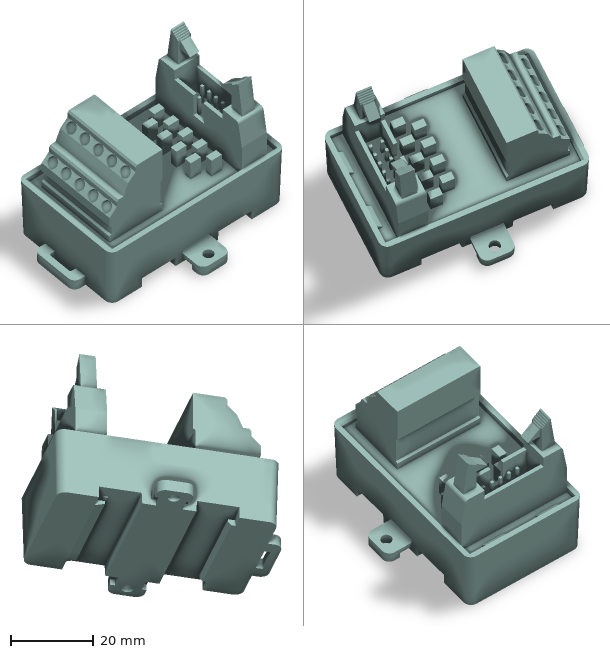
import cadquery as cq
import math


housing_height = 17.85
housing_width, housing_length = 34.75, 56.1
wall_draft = 0.4
corner_radius = 2.25
rim_wall = 1.4
base_width = housing_width - 2 * wall_draft
base_length = housing_length - 2 * wall_draft

board_thickness = 1.6
board_drop = 1.8
board_top = housing_height - board_drop
board_bottom = board_top - board_thickness
board_width = housing_width - 2 * rim_wall
board_length = housing_length - 2 * rim_wall
board_end = board_length / 2

snap_width, snap_reach, snap_spacing = 6.1, 1.4, 16.2
snap_fall = 1.2
lip_reach, lip_fall = 0.65, 0.6

slot_height = 3.0
rail_centre = -0.2
rail_half_width = 17.7
island_half_width = 6.95
slot_draft = 0.2
hook_reach, hook_top, hook_tip = 2.55, 1.6, 0.85
ridge_depth, ridge_width = 0.3, 1.55

ear_span, ear_width, ear_radius = 48.6, 9.15, 2.15
ear_hole_diameter, ear_hole_spacing = 3.0, 42.5
ear_notch_height, ear_notch_depth = 1.6, 1.2
ear_notch_from_tip = 3.8
relief_height, relief_depth = 1.15, 0.9

clip_width = 26.3
clip_front = -base_length / 2
clip_tooth_reach, clip_tooth_bevel = 1.85, 0.85
handle_width, handle_radius = 15.0, 2.15
overall_length = 59.5
handle_end = housing_length / 2 - overall_length
handle_flare = 0.1
handle_overlap = 0.6
grip_width, grip_end, grip_radius = 7.8, -29.45, 0.5

terminal_width = 25.1
terminal_back, terminal_top = -7.4, 36.9
terminal_foot, terminal_waist_top = 18.15, 26.65
tier_step_y, tier_step_z = -6.0, -8.0
waist_inset = 0.6
waist_chamfer = 0.4
wire_holes, wire_pitch = 5, 5.0
wire_hole_diameter, wire_hole_depth = 3.3, 0.9

header_y, header_depth = 19.15, 8.05
header_top, header_bend = 33.1, 25.3
shoulder_half_width = 14.65
shoulder_radius = 0.95
well_width, well_depth = 17.8, 5.95
well_floor = 21.4
header_wall_top = 29.9
key_width, key_floor = 3.8, 23.05
pin_columns, pin_pitch_x, pin_pitch_y = 5, 2.55, 3.1
pin_size, pin_top = 0.8, 27.1
latch_width, barb_width = 4.1, 3.0
latch_inner, latch_root, latch_peak_x = 9.9, 13.85, 12.5
barb_tip, barb_bottom = 6.05, 38.0
latch_peak = 43.25
groove_count, groove_pitch = 6, 0.5
groove_width, groove_depth = 0.3, 0.3
groove_start = 12.15

lamp_x, lamp_y, lamp_top = 2.1, 3.3, 21.5
lamp_pitch = 5.3
lamp_rows = ((5, 10.85), (4, 6.4))


def block(x0, x1, y0, y1, z0, z1):
    """Box between two corners."""
    return cq.Workplane("XY").box(x1 - x0, y1 - y0, z1 - z0, centered=False).translate((x0, y0, z0))


def prism_x(points, width, x_centre=0.0):
    """Y-Z outline extruded along X, centred on x_centre."""
    profile = cq.Workplane("YZ", origin=(x_centre - width / 2, 0, 0))
    return profile.polyline(points).close().extrude(width)


def prism_y(points, depth, y_centre):
    """X-Z outline extruded along Y, centred on y_centre."""
    profile = cq.Workplane("XZ", origin=(0, y_centre + depth / 2, 0))
    return profile.polyline(points).close().extrude(depth)


def row(count, pitch):
    """Evenly spaced positions centred on zero."""
    return [(i - (count - 1) / 2) * pitch for i in range(count)]


def rounded_rectangle(width, length, radius):
    return cq.Sketch().rect(width, length).vertices().fillet(radius)


def make_shell():
    """Drafted outer block with the board tray sunk into its top."""
    base = rounded_rectangle(base_width, base_length, corner_radius)
    rim = rounded_rectangle(housing_width, housing_length, corner_radius)
    shell = cq.Workplane("XY").placeSketch(base, rim.moved(cq.Location(cq.Vector(0, 0, housing_height))))
    shell = shell.loft()
    tray = block(-board_width / 2, board_width / 2, -board_end, board_end, board_bottom, housing_height)
    return shell.cut(tray)


def make_retainers():
    """Two snap noses on the +Y tray wall and a full-width lip on the -Y wall."""
    nose_tip = board_end - snap_reach
    nose = [
        (board_end, board_top),
        (nose_tip, board_top),
        (nose_tip, housing_height - snap_fall),
        (board_end, housing_height),
    ]
    lip_tip = -board_end + lip_reach
    lip = [
        (-board_end, board_top),
        (lip_tip, board_top),
        (lip_tip, housing_height - lip_fall),
        (-board_end, housing_height),
    ]
    retainers = prism_x(lip, board_width)
    for x in row(2, snap_spacing):
        retainers = retainers.add(prism_x(nose, snap_width, x))
    return retainers.vals()


def make_rail_slot(side):
    """One of the two slots beside the island, on the +Y (side = 1) or -Y (side = -1) half."""
    inner, outer = island_half_width, rail_half_width
    points = [
        (rail_centre + side * (inner - slot_draft), 0),
        (rail_centre + side * inner, slot_height),
        (rail_centre + side * outer, slot_height),
        (rail_centre + side * outer, 0),
    ]
    return prism_x(points, housing_width)


def make_fixed_hook():
    """Hook that catches the rail on the +Y side."""
    root = rail_centre + rail_half_width
    tip = root - hook_reach
    return prism_x([(root, 0), (tip, hook_tip), (tip, hook_top), (root, hook_top)], clip_width)


def make_slot_ridge():
    """Shallow ridge on the slot ceiling above the hook tip."""
    middle = rail_centre + rail_half_width - hook_reach - ridge_depth
    points = [
        (middle - ridge_width / 2, slot_height),
        (middle, slot_height - ridge_depth),
        (middle + ridge_width / 2, slot_height),
    ]
    return prism_x(points, clip_width)


def make_ears():
    """Two screw ears, notched along the lower half of both sides."""
    bar = rounded_rectangle(ear_span, ear_width, ear_radius)
    ears = cq.Workplane("XY").placeSketch(bar).extrude(slot_height).translate((0, rail_centre, 0))
    holes = cq.Workplane("XY").pushPoints([(x, rail_centre) for x in row(2, ear_hole_spacing)])
    ears = ears.cut(holes.circle(ear_hole_diameter / 2).extrude(slot_height))
    notch_x = ear_span / 2 - ear_notch_from_tip
    notch_y = ear_width / 2 - ear_notch_depth
    for y0 in (rail_centre - ear_width / 2, rail_centre + notch_y):
        ears = ears.cut(block(-notch_x, notch_x, y0, y0 + ear_notch_depth, 0, ear_notch_height))
    return ears


def make_ear_relief(side):
    """Sloped cut in the side wall just above an ear."""
    wall = side * base_width / 2
    outside = side * housing_width / 2
    points = [
        (wall - side * relief_depth, slot_height),
        (wall, slot_height + relief_height),
        (outside, slot_height + relief_height),
        (outside, slot_height),
    ]
    return prism_y(points, ear_width, rail_centre)


def make_housing():
    housing = make_shell()
    for retainer in make_retainers():
        housing = housing.union(retainer)
    for side in (-1, 1):
        housing = housing.cut(make_rail_slot(side))
        housing = housing.cut(make_ear_relief(side))
    housing = housing.union(make_fixed_hook()).union(make_slot_ridge()).union(make_ears())
    clip_bed = block(
        -clip_width / 2, clip_width / 2,
        -housing_length / 2, rail_centre - rail_half_width,
        0, slot_height,
    )
    return housing.cut(clip_bed)


def make_clip():
    """Sliding plate with a rail tooth inside and a looped handle outside."""
    plate_back = rail_centre - rail_half_width
    tooth_tip = plate_back + clip_tooth_reach
    plate = prism_x(
        [
            (clip_front, 0),
            (tooth_tip - clip_tooth_bevel, 0),
            (tooth_tip, clip_tooth_bevel),
            (tooth_tip, hook_top),
            (plate_back, hook_top),
            (plate_back, slot_height),
            (clip_front, slot_height),
        ],
        clip_width,
    )
    handle_start = clip_front + handle_radius + handle_overlap
    flare_angle = math.degrees(math.atan(handle_flare / slot_height))
    outline = rounded_rectangle(handle_width, handle_start - handle_end, handle_radius)
    handle = cq.Workplane("XY").placeSketch(outline).extrude(slot_height, taper=flare_angle)
    handle = handle.translate((0, (handle_start + handle_end) / 2, 0))
    grip = block(-grip_width / 2, grip_width / 2, grip_end, clip_front, 0, slot_height)
    grip = grip.edges("|Z and <Y").fillet(grip_radius)
    return plate.union(handle).cut(grip)


def make_terminal_block():
    """Two stepped tiers of wire entries over a waisted foot."""
    top_edge = (-15.55, terminal_top)
    riser_top = (-16.0, 36.3)
    riser_bottom = (-16.0, 34.8)
    face_bottom = (-18.4, 32.5)
    tier = [top_edge, riser_top, riser_bottom, face_bottom]
    lower_tier = [(y + tier_step_y, z + tier_step_z) for y, z in tier]
    ledge_back = (-19.95, lower_tier[0][1])
    front = lower_tier[-1][0]
    front_waist_top = 21.65
    waist_back = terminal_back - waist_inset
    waist_front = front + waist_inset
    outline = [(terminal_back, terminal_top)] + tier + [ledge_back] + lower_tier + [
        (front, front_waist_top),
        (waist_front, front_waist_top - waist_inset),
        (waist_front, terminal_foot + waist_chamfer),
        (front, terminal_foot),
        (front, board_top),
        (terminal_back, board_top),
        (terminal_back, terminal_foot),
        (waist_back, terminal_foot + waist_chamfer),
        (waist_back, terminal_waist_top - waist_chamfer),
        (terminal_back, terminal_waist_top),
    ]
    terminal = prism_x(outline, terminal_width)

    inward = cq.Vector(0, riser_bottom[1] - face_bottom[1], face_bottom[0] - riser_bottom[0]).normalized()
    for upper, lower in ((tier[2], tier[3]), (lower_tier[2], lower_tier[3])):
        for x in row(wire_holes, wire_pitch):
            mouth = cq.Vector(x, (upper[0] + lower[0]) / 2, (upper[1] + lower[1]) / 2)
            hole = cq.Solid.makeCylinder(wire_hole_diameter / 2, wire_hole_depth, mouth, inward)
            terminal = terminal.cut(cq.Workplane(hole))
    return terminal


def make_header():
    """Header housing: two end towers joined by low walls around a pin well."""
    half = board_width / 2
    outline = [
        (-half, board_top),
        (-half, header_bend),
        (-shoulder_half_width, header_top),
        (shoulder_half_width, header_top),
        (half, header_bend),
        (half, board_top),
    ]
    header = prism_y(outline, header_depth, header_y)
    header = header.edges("|Y and >Z").fillet(shoulder_radius)
    front, back = header_y - header_depth / 2, header_y + header_depth / 2
    well_half = well_width / 2
    header = header.cut(block(-well_half, well_half, front, back, header_wall_top, header_top))
    well_front, well_back = header_y - well_depth / 2, header_y + well_depth / 2
    header = header.cut(block(-well_half, well_half, well_front, well_back, well_floor, header_top))
    return header.cut(block(-key_width / 2, key_width / 2, front, well_front, key_floor, header_top))


def make_pins():
    pins = cq.Workplane("XY", origin=(0, header_y, well_floor))
    pins = pins.rarray(pin_pitch_x, pin_pitch_y, pin_columns, 2)
    return pins.rect(pin_size, pin_size).extrude(pin_top - well_floor)


def make_latch(side):
    """Ejector latch on the +X (side = 1) or -X (side = -1) tower."""
    slope = (latch_peak - barb_bottom) / (latch_peak_x - barb_tip)
    inner_top = latch_peak - slope * (latch_peak_x - latch_inner)
    arm_foot = header_top - shoulder_radius
    arm = [
        (side * latch_root, arm_foot),
        (side * latch_root, header_top),
        (side * latch_peak_x, latch_peak),
        (side * latch_inner, inner_top),
        (side * latch_inner, arm_foot),
    ]
    barb = [(side * latch_inner, inner_top), (side * barb_tip, barb_bottom), (side * latch_inner, barb_bottom)]
    latch = prism_y(arm, latch_width, header_y).union(prism_y(barb, barb_width, header_y))
    for i in range(groove_count):
        x_high = groove_start - i * groove_pitch
        z_high = latch_peak - slope * (latch_peak_x - x_high)
        x_low = x_high - groove_width
        z_low = z_high - slope * groove_width
        bottom = (side * (x_high + x_low) / 2, (z_high + z_low) / 2 - groove_depth)
        groove = [(side * x_high, z_high), (side * x_low, z_low), bottom]
        latch = latch.cut(prism_y(groove, latch_width, header_y))
    return latch


def make_lamps():
    lamps = cq.Workplane("XY", origin=(0, 0, board_top))
    spots = [(x, y) for count, y in lamp_rows for x in row(count, lamp_pitch)]
    return lamps.pushPoints(spots).rect(lamp_x, lamp_y).extrude(lamp_top - board_top)


def make_board():
    """Circuit board with its terminal block, header, latches and lamps as one solid."""
    board = block(-board_width / 2, board_width / 2, -board_end, board_end, board_bottom, board_top)
    board = board.union(make_terminal_block()).union(make_header()).union(make_pins()).union(make_lamps())
    for side in (-1, 1):
        board = board.union(make_latch(side))
    return board


rail_clip = make_clip()
housing = make_housing()
board = make_board()

result = cq.Compound.makeCompound([housing.val(), board.val(), rail_clip.val()])